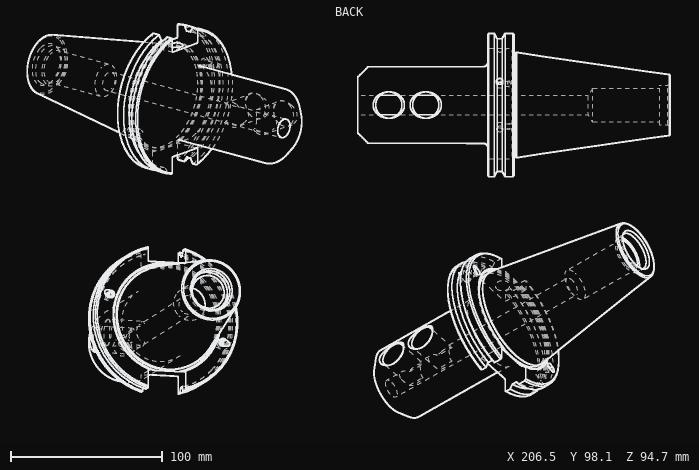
import cadquery as cq
import math


total_length = 206.5
taper_length = 101.6
flange_start = 103.0
flange_end = 120.7
gripper_groove_x = 112.8

gauge_diameter = 69.8
taper_ratio = 7 / 24
taper_chamfer = 0.8
taper_back_chamfer = 0.5
neck_diameter = 69.2

flange_diameter = 98.1
flange_chamfer_front = 1.0
flange_chamfer_back = 0.8
face_recess_diameter = 72.7
face_recess_chamfer = 0.8
face_recess_depth = 1.7

groove_floor_diameter = 91.5
groove_floor_width = 3.3
groove_wall_angle = 30.0
groove_overshoot = 2.0

slot_width = 25.6
slot_corner_fillet = 0.6
upper_slot_floor = 37.5
lower_slot_floor = 35.3
dimple_diameter = 9.5
dimple_cone_angle = 120.0

shank_diameter = 50.8
shank_fillet = 2.9
nose_chamfer = 7.0
nose_edge_fillet = 0.8

through_diameter = 12.5
thread_diameter = 22.0
thread_depth = 51.6
pilot_diameter = 26.2
pilot_depth = 7.5
pilot_mouth_diameter = 28.5
pilot_mouth_cone_angle = 60.0
drill_cone_angle = 118.0

screw_positions = (161.5, 186.0)
screw_diameter = 17.4
screw_countersink_diameter = 20.7

coolant_angle = 20.0
coolant_radius = 41.1
face_port_diameter = 5.0
face_port_drill_diameter = 3.3
face_port_depth = 2.0
groove_port_diameter = 4.1
slanted_port_diameter = 4.1
slanted_port_radius = 43.2
slanted_port_angle = 30.0

flange_width = flange_end - flange_start
flange_radius = flange_diameter / 2


def revolve_about_x(profile):
    """Turn a closed (X, radius) profile about the X axis."""
    return profile.close().revolve(360, (0, 0, 0), (1, 0, 0))


def make_body():
    small_radius = (gauge_diameter - taper_length * taper_ratio) / 2
    chamfer_top = small_radius + taper_chamfer * taper_ratio / 2
    shank_radius = shank_diameter / 2
    recess_radius = face_recess_diameter / 2
    profile = (
        cq.Workplane("XY")
        .lineTo(0, small_radius - taper_chamfer)
        .lineTo(taper_chamfer, chamfer_top)
        .lineTo(taper_length, gauge_diameter / 2)
        .lineTo(taper_length + taper_back_chamfer, neck_diameter / 2)
        .lineTo(flange_start + face_recess_depth, neck_diameter / 2)
        .lineTo(flange_start + face_recess_depth, recess_radius)
        .lineTo(flange_start + face_recess_chamfer, recess_radius)
        .lineTo(flange_start, recess_radius + face_recess_chamfer)
        .lineTo(flange_start, flange_radius - flange_chamfer_front)
        .lineTo(flange_start + flange_chamfer_front, flange_radius)
        .lineTo(flange_end - flange_chamfer_back, flange_radius)
        .lineTo(flange_end, flange_radius - flange_chamfer_back)
        .lineTo(flange_end, shank_radius + shank_fillet)
        .radiusArc((flange_end + shank_fillet, shank_radius), -shank_fillet)
        .lineTo(total_length - nose_chamfer, shank_radius)
        .lineTo(total_length, shank_radius - nose_chamfer)
        .lineTo(total_length, 0)
    )
    body = revolve_about_x(profile)
    return body.edges("%CIRCLE").edges(">>X[-1] or >>X[-2]").fillet(nose_edge_fillet)


def make_gripper_groove():
    floor_radius = groove_floor_diameter / 2
    outer_radius = flange_radius + groove_overshoot
    half_floor = groove_floor_width / 2
    half_mouth = half_floor + (outer_radius - floor_radius) * math.tan(math.radians(groove_wall_angle))
    profile = (
        cq.Workplane("XY")
        .moveTo(gripper_groove_x - half_floor, floor_radius)
        .lineTo(gripper_groove_x + half_floor, floor_radius)
        .lineTo(gripper_groove_x + half_mouth, outer_radius)
        .lineTo(gripper_groove_x - half_mouth, outer_radius)
    )
    return revolve_about_x(profile)


def make_drive_slot(floor_height, side):
    """Slot across the flange rim; side is +1 for +Z and -1 for -Z."""
    slot = cq.Workplane("XY").box(flange_width, slot_width, flange_radius, centered=(False, True, False))
    slot = slot.edges("|X and <Z").fillet(slot_corner_fillet)
    slot = slot.translate((flange_start, 0, floor_height))
    return slot if side > 0 else slot.mirror("XY")


def make_dimple():
    """Conical drill dimple in the floor of the upper slot."""
    radius = dimple_diameter / 2
    depth = radius / math.tan(math.radians(dimple_cone_angle / 2))
    rim_center = cq.Vector(gripper_groove_x, 0, upper_slot_floor)
    return cq.Workplane(cq.Solid.makeCone(radius, 0, depth, rim_center, cq.Vector(0, 0, -1)))


def make_axial_bore():
    through_radius = through_diameter / 2
    thread_radius = thread_diameter / 2
    pilot_radius = pilot_diameter / 2
    mouth_radius = pilot_mouth_diameter / 2
    mouth_depth = (mouth_radius - pilot_radius) / math.tan(math.radians(pilot_mouth_cone_angle / 2))
    cone_length = (thread_radius - through_radius) / math.tan(math.radians(drill_cone_angle / 2))
    profile = (
        cq.Workplane("XY")
        .lineTo(0, mouth_radius)
        .lineTo(mouth_depth, pilot_radius)
        .lineTo(pilot_depth, pilot_radius)
        .lineTo(pilot_depth, thread_radius)
        .lineTo(thread_depth, thread_radius)
        .lineTo(thread_depth + cone_length, through_radius)
        .lineTo(total_length, through_radius)
        .lineTo(total_length, 0)
    )
    return revolve_about_x(profile)


def make_screw_hole(x):
    """Countersunk clamping screw hole from the +Y side in to the axis."""
    surface = shank_diameter / 2
    screw_radius = screw_diameter / 2
    sink_radius = screw_countersink_diameter / 2
    profile = (
        cq.Workplane("XY")
        .moveTo(x, 0)
        .lineTo(x + screw_radius, 0)
        .lineTo(x + screw_radius, surface - (sink_radius - screw_radius))
        .lineTo(x + sink_radius, surface)
        .lineTo(x, surface)
        .close()
    )
    return profile.revolve(360, (x, 0, 0), (x, 1, 0))


def make_coolant_port():
    """Stepped face hole, groove hole and slanted hole that meet inside the +Y side of the flange."""
    drill_depth = gripper_groove_x - flange_start
    inner_end = coolant_radius - face_port_diameter / 2
    along_axis = cq.Vector(1, 0, 0)
    face_mouth = cq.Vector(flange_start, coolant_radius, 0)
    face_port = cq.Solid.makeCylinder(face_port_diameter / 2, face_port_depth, face_mouth, along_axis)
    face_drill = cq.Solid.makeCylinder(face_port_drill_diameter / 2, drill_depth, face_mouth, along_axis)
    groove_port = cq.Solid.makeCylinder(
        groove_port_diameter / 2,
        flange_radius - inner_end,
        cq.Vector(gripper_groove_x, inner_end, 0),
        cq.Vector(0, 1, 0),
    )
    slant = math.radians(slanted_port_angle)
    reach = (slanted_port_radius - coolant_radius) / math.sin(slant)
    direction = cq.Vector(math.cos(slant), -math.sin(slant), 0)
    mouth = cq.Vector(flange_start, slanted_port_radius, 0)
    slanted_port = cq.Solid.makeCylinder(
        slanted_port_diameter / 2,
        2 * reach,
        mouth - direction * reach,
        direction,
    )
    port = cq.Workplane(face_port)
    for hole in (face_drill, groove_port, slanted_port):
        port = port.union(cq.Workplane(hole))
    return port.rotate((0, 0, 0), (1, 0, 0), coolant_angle)


result = make_body().cut(make_gripper_groove())
result = result.cut(make_drive_slot(upper_slot_floor, 1))
result = result.cut(make_drive_slot(lower_slot_floor, -1))
result = result.cut(make_dimple())
result = result.cut(make_axial_bore())

for screw_x in screw_positions:
    result = result.cut(make_screw_hole(screw_x))

coolant_port = make_coolant_port()
for turn in (0, 180):
    result = result.cut(coolant_port.rotate((0, 0, 0), (1, 0, 0), turn))